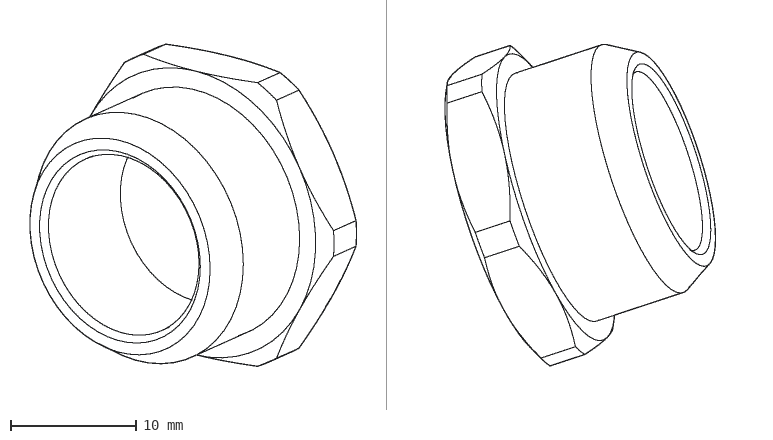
import cadquery as cq
import math

across_flats = 24.0
corner_diameter = 26.55
flange_thickness = 4.5
corner_bevel_angle = 30.0

overall_length = 14.5
shank_radius = 10.4
tip_taper_length = 2.5
tip_taper_angle = 30.0

bore_radius = 7.5
bore_depth = 10.1
bore_cone_depth = 2.0
mouth_chamfer = 0.5


def revolve_about_y(profile):
    """Turn a closed outline of (radius, Y) points around the Y axis."""
    return cq.Workplane("XY").polyline(profile).close().revolve(360, (0, 0, 0), (0, 1, 0))


def make_flange():
    """Hexagon with corners on +X and -X, rounded and bevelled on both faces."""
    flat_radius = across_flats / 2
    corner_radius = corner_diameter / 2
    bevel_length = (corner_radius - flat_radius) * math.tan(math.radians(corner_bevel_angle))
    full_hexagon_diameter = across_flats / math.cos(math.radians(30))

    hexagon = cq.Workplane("XZ").polygon(6, full_hexagon_diameter).extrude(flange_thickness)
    turned_blank = revolve_about_y([
        (0, 0),
        (flat_radius, 0),
        (corner_radius, -bevel_length),
        (corner_radius, -flange_thickness + bevel_length),
        (flat_radius, -flange_thickness),
        (0, -flange_thickness),
    ])
    return hexagon.intersect(turned_blank)


def make_shank():
    """Cylinder with a tapered tip, running from the back face to the tip."""
    tip_radius = shank_radius - tip_taper_length * math.tan(math.radians(tip_taper_angle))
    return revolve_about_y([
        (0, 0),
        (shank_radius, 0),
        (shank_radius, -overall_length + tip_taper_length),
        (tip_radius, -overall_length),
        (0, -overall_length),
    ])


def make_bore():
    """Blind hole with a 45 degree mouth chamfer and a conical bottom."""
    mouth_y = -overall_length
    cone_base_y = mouth_y + bore_depth
    return revolve_about_y([
        (0, mouth_y),
        (bore_radius + mouth_chamfer, mouth_y),
        (bore_radius, mouth_y + mouth_chamfer),
        (bore_radius, cone_base_y),
        (0, cone_base_y + bore_cone_depth),
    ])


result = make_flange().union(make_shank()).cut(make_bore())